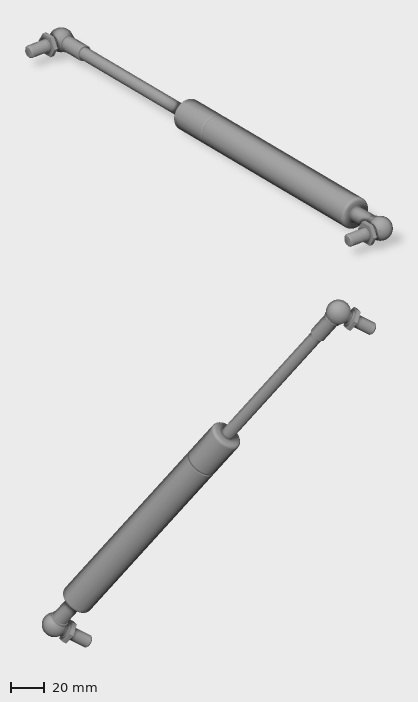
import cadquery as cq
import math

overall_length = 315.5
hex_across_flats = 13.0
hex_across_corners = hex_across_flats / math.cos(math.pi / 6)
ball_center_x = (overall_length - hex_across_corners) / 2

socket_diameter = 14.8
socket_mouth = 5.7
shank_diameter = 9.8
shank_end = 21.8
shoulder_diameter = 11.0
shoulder_end = 6.3
shank_root = 3.0
clip_hole_diameter = 0.98
clip_hole_y = -4.7
clip_hole_z = 2.2

ball_diameter = 9.8
stud_neck_diameter = 7.5
stud_flange_diameter = 9.8
stud_flange_start = 7.5
hex_start = 8.5
hex_thickness = 2.5
hex_end = hex_start + hex_thickness
plain_diameter = 8.2
plain_end = 12.3
thread_diameter = 8.0
stud_end = 25.0
stud_chamfer = 1.0

tube_diameter = 20.0
rod_diameter = 8.0
edge_fillet = 2.0
neck_fillet = 1.0
sleeve_start_x = -32.8
sleeve_length = 27.8
sleeve_end_x = sleeve_start_x + sleeve_length
rod_start_x = shank_end - ball_center_x
neck_end_x = ball_center_x - shank_end
tube_end_x = neck_end_x - neck_fillet


def along_x(start, end, diameter):
    """Round bar on the X axis."""
    return cq.Workplane("YZ", origin=(start, 0, 0)).circle(diameter / 2).extrude(end - start)


def along_stud(start, end, diameter):
    """Round bar on the stud axis, measured from the ball centre towards -Y."""
    return cq.Workplane("XZ", origin=(0, -start, 0)).circle(diameter / 2).extrude(end - start)


def make_spring():
    """Tube with its sleeve and piston rod."""
    rod = along_x(rod_start_x, sleeve_start_x, rod_diameter)
    sleeve = along_x(sleeve_start_x, sleeve_end_x, tube_diameter).edges().fillet(edge_fillet)
    tube = along_x(sleeve_end_x, tube_end_x, tube_diameter).faces(">X").edges().fillet(edge_fillet)

    neck_radius = shank_diameter / 2
    neck = (
        cq.Workplane("XY")
        .moveTo(tube_end_x, 0)
        .lineTo(tube_end_x, neck_radius + neck_fillet)
        .radiusArc((neck_end_x, neck_radius), -neck_fillet)
        .lineTo(neck_end_x, 0)
        .close()
        .revolve(360, (0, 0, 0), (1, 0, 0))
    )
    return tube.union(sleeve).union(rod).union(neck)


def make_stud():
    """Ball stud with its ball at the origin."""
    ball = cq.Workplane().sphere(ball_diameter / 2)
    neck = along_stud(0, stud_flange_start, stud_neck_diameter)
    flange = along_stud(stud_flange_start, hex_start, stud_flange_diameter)
    hexagon = (
        cq.Workplane("XZ", origin=(0, -hex_start, 0))
        .polygon(6, hex_across_corners)
        .extrude(hex_thickness)
    )
    plain = along_stud(hex_end, plain_end, plain_diameter)
    thread = along_stud(plain_end, stud_end, thread_diameter).faces("<Y").chamfer(stud_chamfer)
    return ball.union(neck).union(flange).union(hexagon).union(plain).union(thread)


def make_socket():
    """Socket around a ball at the origin, with its shank towards +X."""
    shell_radius = socket_diameter / 2
    mouth_radius = math.sqrt(shell_radius**2 - socket_mouth**2)
    shell = (
        cq.Workplane("XY")
        .moveTo(0, -socket_mouth)
        .lineTo(mouth_radius, -socket_mouth)
        .threePointArc((shell_radius, 0), (0, shell_radius))
        .close()
        .revolve(360, (0, 0, 0), (0, 1, 0))
    )
    shoulder = along_x(shank_root, shoulder_end, shoulder_diameter)
    shank = along_x(shank_root, shank_end, shank_diameter)

    clip_hole = (
        cq.Workplane("YZ", origin=(-shell_radius, 0, 0))
        .center(clip_hole_y, clip_hole_z)
        .circle(clip_hole_diameter / 2)
        .extrude(shell_radius)
    )
    return shell.union(shoulder.union(shank)).cut(make_stud()).cut(clip_hole)


spring = make_spring()
sockets = []
studs = []
for side in (-1, 1):
    socket = make_socket()
    if side > 0:
        socket = socket.mirror("YZ")
    sockets.append(socket.translate((side * ball_center_x, 0, 0)).val())
    studs.append(make_stud().translate((side * ball_center_x, 0, 0)).val())

result = cq.Compound.makeCompound([spring.val(), *sockets, *studs])